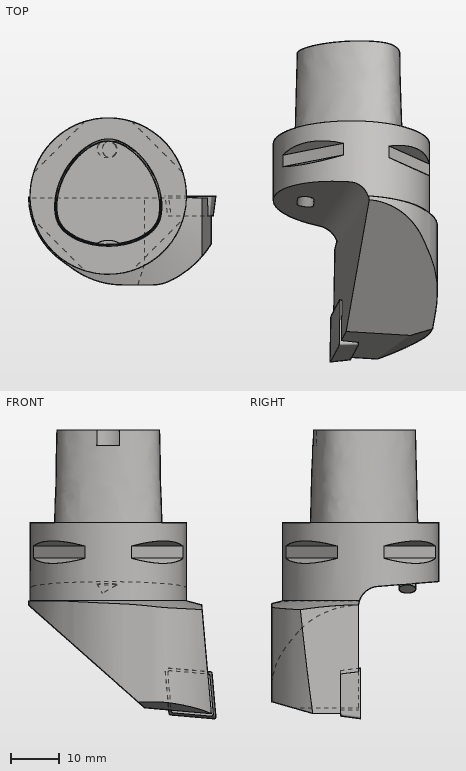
import cadquery as cq
import math


shank_height = 18.95
shank_radius_base = 11.0
shank_radius_tip = 10.5
lobe_rise = 0.7
lobe_count = 3
lobe_angle = math.pi / 2
shank_points = 36

notch_radius = 4.4
notch_depth = 3.2
notch_reach = 0.75

flange_radius = 16.0
flange_height = 15.95
slot_count = 4
slot_floor_distance = 14.15
slot_floor_width = 2.5
slot_side_angle = 30.0
slot_z = -6.0
slot_overrun = 0.6

rake_face_y = -0.4
relief_edge_z = -12.05
relief_roof_y = 3.5
relief_roof_z = -13.05
relief_fillet_end_z = -16.9

head_radius = 16.3
head_arc_end_angle = 234.8
back_radius = 17.35
back_center_x = 2.95
head_front_y = -18.2
front_flat_end_x = 8.9
nose_start = (12.1, -17.6)
nose_mid = (17.1, -14.4)
nose_end = (21.2, -9.55)
corner_mid = (10.55, -18.025)

roof_slope = 15.0
slant_start_z = -16.8
slant_end = (7.45, -37.8)
lean_angle = 5.0
end_face_x = 19.1
end_face_z = -16.8
lower_slope_start = (-9.1, -39.2)
lower_slope_angle = 16.0

nozzle_radius = 1.7
nozzle_y = 9.55
nozzle_lean = 30.0
nozzle_buried = 2.95
nozzle_length = 0.6

insert_side = 9.7
insert_thickness = 4.1
insert_clearance = 7.0
insert_corner_radius = 0.4
insert_tip_x = 22.0
total_height = 59.0
insert_tip_z = shank_height - total_height

margin = 5.9


def lobed_outline(mean_radius, z):
    """Closed three-lobed curve whose distance to its tangent varies as a cosine."""
    points = []
    for i in range(shank_points):
        angle = lobe_angle + 2 * math.pi * i / shank_points
        phase = lobe_count * (angle - lobe_angle)
        out = mean_radius + lobe_rise * math.cos(phase)
        along = -lobe_count * lobe_rise * math.sin(phase)
        points.append((
            out * math.cos(angle) - along * math.sin(angle),
            out * math.sin(angle) + along * math.cos(angle),
        ))
    return cq.Workplane("XY").workplane(offset=z).spline(points, periodic=True).close().val()


def make_shank():
    base = lobed_outline(shank_radius_base, 0)
    tip = lobed_outline(shank_radius_tip, shank_height)
    shank = cq.Workplane(obj=cq.Solid.makeLoft([base, tip], True))
    notch_y = -(shank_radius_tip - lobe_rise) + notch_reach - notch_radius
    notch = (
        cq.Workplane("XY", origin=(0, notch_y, shank_height - notch_depth))
        .circle(notch_radius)
        .extrude(notch_depth)
    )
    return shank.cut(notch)


def make_slot_cutter():
    """Trapezoid across the flange edge, facing +X."""
    depth = flange_radius - slot_floor_distance + slot_overrun
    half_floor = slot_floor_width / 2
    half_mouth = half_floor + depth * math.tan(math.radians(slot_side_angle))
    outer = slot_floor_distance + depth
    return (
        cq.Workplane("XZ")
        .polyline([
            (slot_floor_distance, slot_z - half_floor),
            (outer, slot_z - half_mouth),
            (outer, slot_z + half_mouth),
            (slot_floor_distance, slot_z + half_floor),
        ])
        .close()
        .extrude(flange_radius, both=True)
    )


def make_flange():
    flange = cq.Workplane("XY").circle(flange_radius).extrude(-flange_height)
    cutter = make_slot_cutter()
    for i in range(slot_count):
        angle = (i + 0.5) * 360 / slot_count
        flange = flange.cut(cutter.rotate((0, 0, 0), (0, 0, 1), angle))
    return flange


def make_head_prism():
    """Head outline extruded down from the flange."""
    end = math.radians(head_arc_end_angle)
    middle = math.radians((180 + head_arc_end_angle) / 2)
    back_center_y = head_front_y + back_radius
    back_middle = (end + 1.5 * math.pi) / 2

    def on_head(angle):
        return (head_radius * math.cos(angle), head_radius * math.sin(angle))

    def on_back(angle):
        return (
            back_center_x + back_radius * math.cos(angle),
            back_center_y + back_radius * math.sin(angle),
        )

    return (
        cq.Workplane("XY", origin=(0, 0, -flange_height))
        .moveTo(-head_radius, 0)
        .threePointArc(on_head(middle), on_head(end))
        .lineTo(*on_back(end))
        .threePointArc(on_back(back_middle), (back_center_x, head_front_y))
        .lineTo(front_flat_end_x, head_front_y)
        .threePointArc(corner_mid, nose_start)
        .threePointArc(nose_mid, nose_end)
        .lineTo(nose_end[0], 0)
        .close()
        .extrude(insert_tip_z + flange_height)
    )


def make_head():
    lean = math.tan(math.radians(lean_angle))
    lower_start_x, lower_start_z = slant_end
    drop = end_face_z - lower_start_z + lean * (end_face_x - lower_start_x)
    corner_x = end_face_x + lean * drop / (1 - lean ** 2)
    corner_z = lower_start_z - lean * (corner_x - lower_start_x)
    top_x = end_face_x + lean * end_face_z
    side = (
        cq.Workplane("XZ")
        .polyline([
            (-head_radius, 0),
            (-head_radius, slant_start_z),
            slant_end,
            (corner_x, corner_z),
            (top_x, 0),
        ])
        .close()
        .extrude(-head_front_y)
    )

    reach = flange_radius + 2 * margin
    roof_drop = (reach - flange_radius) * math.tan(math.radians(roof_slope))
    under_roof = (
        cq.Workplane("XZ")
        .polyline([
            (0, -flange_height),
            (flange_radius, -flange_height),
            (reach, -flange_height - roof_drop),
            (reach, insert_tip_z),
            (0, insert_tip_z),
        ])
        .close()
        .revolve(360, (0, 0, 0), (0, 1, 0))
    )

    slope = math.tan(math.radians(lower_slope_angle))
    start_y, start_z = lower_slope_start
    far_y = head_front_y - margin
    near_z = start_z + slope * start_y
    wedge = (
        cq.Workplane("YZ")
        .polyline([
            (0, near_z),
            (far_y, start_z + slope * (start_y - far_y)),
            (far_y, near_z),
        ])
        .close()
        .extrude(2 * head_radius)
    )
    return make_head_prism().intersect(side).intersect(under_roof).cut(wedge)


def make_relief():
    """Space in front of the rake face, with a rounded inner corner."""
    roof_fall = (relief_edge_z - relief_roof_z) / (flange_radius - relief_roof_y)
    far_y = flange_radius + margin
    return (
        cq.Workplane("YZ")
        .moveTo(far_y, relief_edge_z + roof_fall * margin)
        .lineTo(relief_roof_y, relief_roof_z)
        .tangentArcPoint((rake_face_y, relief_fillet_end_z), relative=False)
        .lineTo(rake_face_y, insert_tip_z - margin)
        .lineTo(far_y, insert_tip_z - margin)
        .close()
        .extrude(2 * flange_radius, both=True)
    )


def make_insert():
    """Rhombic plate with its cutting face on the plane y = 0."""
    lean = math.radians(lean_angle)
    center_x = insert_tip_x - insert_corner_radius
    center_z = insert_tip_z + insert_corner_radius
    half_angle = math.pi / 4 - lean
    offset = insert_corner_radius / math.sin(half_angle) / math.sqrt(2)
    tip = (center_x + offset, center_z - offset)
    along = insert_side * math.cos(lean)
    across = insert_side * math.sin(lean)
    return (
        cq.Workplane("XZ")
        .polyline([
            tip,
            (tip[0] - across, tip[1] + along),
            (tip[0] - across - along, tip[1] + along + across),
            (tip[0] - along, tip[1] + across),
        ])
        .close()
        .extrude(insert_thickness, taper=insert_clearance)
        .edges("not #Y")
        .fillet(insert_corner_radius)
    )


def make_nozzle():
    """Stub that leaves the flange relief downward and toward +X."""
    lean = math.radians(nozzle_lean)
    direction = cq.Vector(math.sin(lean), 0, -math.cos(lean))
    start = cq.Vector(0, nozzle_y, relief_roof_z) - direction * nozzle_buried
    return cq.Workplane(obj=cq.Solid.makeCylinder(
        nozzle_radius, nozzle_buried + nozzle_length, start, direction,
    ))


insert = make_insert()
housing = (
    make_flange()
    .union(make_head())
    .cut(make_relief())
    .union(make_shank())
    .union(make_nozzle())
    .cut(insert)
)

result = cq.Compound.makeCompound([housing.val(), insert.val()])